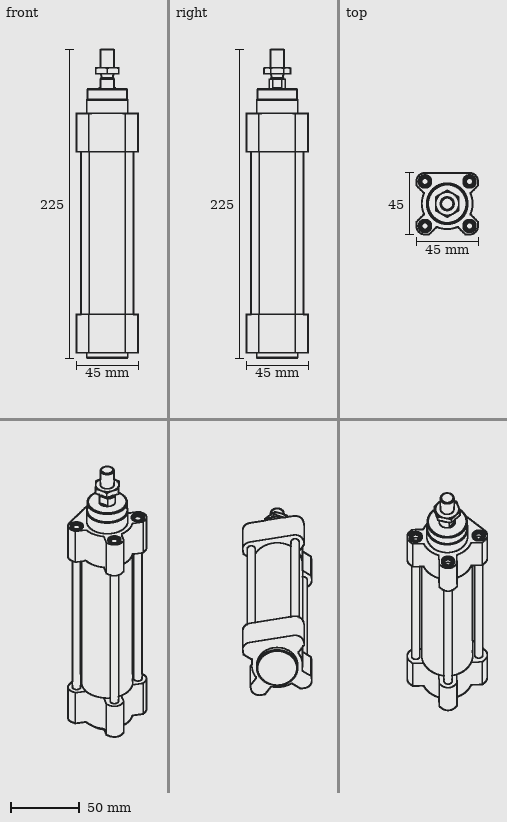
import cadquery as cq
import math

spigot_height = 4.0
cap_height = 28.0
front_cap_base = 150.4
front_cap_top = front_cap_base + cap_height
rear_cap_top = spigot_height + cap_height
collar_shoulder = 188.6
collar_top = 196.3
flats_bottom = 197.0
rod_shoulder = 203.3
neck_base = 204.5
nut_bottom = 207.0
nut_height = 4.5
overall_height = 225.0

cap_width = 45.0
rod_pitch = 32.5
lobe_radius = (cap_width - rod_pitch) / 2
lobe_edge_start = 13.3
cap_body_diameter = 37.0
barrel_diameter = 37.1
inner_fillet = 1.1

collar_diameter = 30.0
waist_end_diameter = 29.0
waist_sag = 0.11
edge_chamfer = 0.7

tie_rod_diameter = 6.0
nut_recess_diameter = 9.5
nut_recess_depth = 4.5
tie_nut_diameter = 9.0
tie_nut_rim = 8.0
tie_nut_drop = 0.2
mouth_diameter = 7.7
throat_diameter = 6.0
throat_depth = 1.0
drill_diameter = 5.0
drill_depth = 4.5
drill_point_angle = 118.0

rod_diameter = 12.0
thread_diameter = 10.0
flats_width = 10.0
flange_diameter = 9.5
neck_diameter = 8.5
neck_sag = 0.2
rod_tip_chamfer = 0.7
nut_flats = 16.9
nut_corner_drop = 0.5


def corner_points():
    """Tie rod axes."""
    half = rod_pitch / 2
    return [(x, y) for x in (-half, half) for y in (-half, half)]


def make_cap(base):
    """Round body with four rounded corner lobes, flat across the +Y side."""
    half = cap_width / 2
    body = cq.Workplane("XY").workplane(offset=base).circle(cap_body_diameter / 2).extrude(cap_height)
    square = (
        cq.Workplane("XY").workplane(offset=base).rect(cap_width, cap_width).extrude(cap_height)
        .edges("|Z").fillet(lobe_radius)
    )
    apex = half - lobe_edge_start
    for turn in (0, 90, 270):
        gap = (
            cq.Workplane("XY").workplane(offset=base)
            .polyline([(0, -apex), (half, -half - apex), (-half, -half - apex)])
            .close().extrude(cap_height)
            .rotate((0, 0, 0), (0, 0, 1), turn)
        )
        square = square.cut(gap)
    cap = body.union(square)
    r = cap_body_diameter / 2
    near = (math.sqrt(2 * r**2 - apex**2) - apex) / 2
    far = near + apex
    for x, y in [(near, -far), (-near, -far), (far, near), (far, -near), (-far, near), (-far, -near)]:
        probe = cq.selectors.NearestToPointSelector((x, y, base + cap_height / 2))
        cap = cap.edges("|Z").edges(probe).fillet(inner_fillet)
    return cap


def make_collar():
    """Round collar with a slightly waisted upper part."""
    r = collar_diameter / 2
    w = waist_end_diameter / 2
    waist_top = collar_top - edge_chamfer
    return (
        cq.Workplane("XZ")
        .moveTo(0, front_cap_top).lineTo(r, front_cap_top)
        .lineTo(r, collar_shoulder - edge_chamfer)
        .lineTo(w, collar_shoulder)
        .threePointArc((w - waist_sag, (collar_shoulder + waist_top) / 2), (w, waist_top))
        .lineTo(w - edge_chamfer, collar_top).lineTo(0, collar_top)
        .close().revolve(360, (0, 0, 0), (0, 1, 0))
    )


def make_tie_nut_cut():
    """Material removed around and inside one tie rod nut."""
    face = front_cap_top - tie_nut_drop
    recess_floor = front_cap_top - nut_recess_depth
    rim_drop = (tie_nut_diameter - tie_nut_rim) / 2
    drill_floor = front_cap_top - drill_depth
    point_depth = drill_diameter / 2 / math.tan(math.radians(drill_point_angle / 2))
    return (
        cq.Workplane("XZ")
        .moveTo(0, front_cap_top).lineTo(nut_recess_diameter / 2, front_cap_top)
        .lineTo(nut_recess_diameter / 2, recess_floor)
        .lineTo(tie_nut_diameter / 2, recess_floor)
        .lineTo(tie_nut_diameter / 2, face - rim_drop)
        .lineTo(tie_nut_rim / 2, face)
        .lineTo(mouth_diameter / 2, face)
        .lineTo(throat_diameter / 2, face - (mouth_diameter - throat_diameter) / 2)
        .lineTo(throat_diameter / 2, face - throat_depth)
        .lineTo(drill_diameter / 2, face - throat_depth)
        .lineTo(drill_diameter / 2, drill_floor)
        .lineTo(0, drill_floor - point_depth)
        .close().revolve(360, (0, 0, 0), (0, 1, 0))
    )


def make_housing():
    """Both caps, barrel, tie rods, spigot and collar, with a blind bore for the rod."""
    span = front_cap_base - rear_cap_top
    spigot = (
        cq.Workplane("XY").circle(collar_diameter / 2).extrude(spigot_height)
        .faces("<Z").chamfer(edge_chamfer)
    )
    barrel = cq.Workplane("XY").workplane(offset=rear_cap_top).circle(barrel_diameter / 2).extrude(span)
    tie_rods = (
        cq.Workplane("XY").workplane(offset=rear_cap_top).pushPoints(corner_points())
        .circle(tie_rod_diameter / 2).extrude(span)
    )
    housing = make_cap(spigot_height).union(spigot).union(barrel)
    housing = housing.union(make_cap(front_cap_base)).union(make_collar()).union(tie_rods)
    for x, y in corner_points():
        housing = housing.cut(make_tie_nut_cut().translate((x, y, 0)))
    rod_bore = (
        cq.Workplane("XY").workplane(offset=front_cap_top)
        .circle(rod_diameter / 2).extrude(collar_top - front_cap_top)
    )
    return housing.cut(rod_bore)


def make_piston_rod():
    """Stepped rod with two wrench flats, a necked flange and a plain thread."""
    t = thread_diameter / 2
    n = neck_diameter / 2
    flange_chamfer = (flange_diameter - neck_diameter) / 2
    rod = (
        cq.Workplane("XZ")
        .moveTo(0, front_cap_top).lineTo(rod_diameter / 2, front_cap_top)
        .lineTo(rod_diameter / 2, rod_shoulder)
        .lineTo(flange_diameter / 2, rod_shoulder)
        .lineTo(flange_diameter / 2, neck_base - flange_chamfer)
        .lineTo(n, neck_base)
        .threePointArc(((n + t) / 2 - neck_sag, (neck_base + nut_bottom) / 2), (t, nut_bottom))
        .lineTo(t, overall_height - rod_tip_chamfer)
        .lineTo(t - rod_tip_chamfer, overall_height).lineTo(0, overall_height)
        .close().revolve(360, (0, 0, 0), (0, 1, 0))
    )
    flats_height = rod_shoulder - flats_bottom
    beside_flats = (
        cq.Workplane("XY").workplane(offset=flats_bottom)
        .rect(2 * rod_diameter, 2 * rod_diameter).extrude(flats_height)
    )
    between_flats = (
        cq.Workplane("XY").workplane(offset=flats_bottom)
        .rect(flats_width, 2 * rod_diameter).extrude(flats_height)
    )
    return rod.cut(beside_flats.cut(between_flats))


def make_hex_nut():
    """Thin hex nut with two corners on the Y axis and chamfered upper corners."""
    across_corners = nut_flats / math.cos(math.pi / 6)
    nut = (
        cq.Workplane("XY").workplane(offset=nut_bottom)
        .polygon(6, across_corners).extrude(nut_height)
        .rotate((0, 0, 0), (0, 0, 1), 90)
    )
    face_radius = nut_flats / 2
    top = nut_bottom + nut_height
    envelope = (
        cq.Workplane("XZ")
        .moveTo(0, nut_bottom).lineTo(across_corners / 2, nut_bottom)
        .lineTo(across_corners / 2, top - nut_corner_drop).lineTo(face_radius, top).lineTo(0, top)
        .close().revolve(360, (0, 0, 0), (0, 1, 0))
    )
    hole = cq.Workplane("XY").workplane(offset=nut_bottom).circle(thread_diameter / 2).extrude(nut_height)
    return nut.intersect(envelope).cut(hole)


housing = make_housing()
piston_rod = make_piston_rod()
hex_nut = make_hex_nut()
result = cq.Compound.makeCompound([housing.val(), piston_rod.val(), hex_nut.val()])